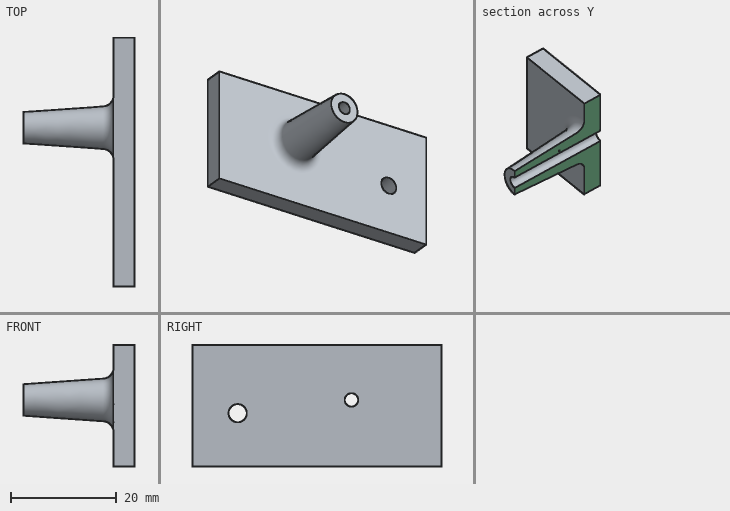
import cadquery as cq
import math

plate_thickness = 4.0
plate_width = 47.01
plate_height = 23.0

spigot_length = 17.0
spigot_tip_radius = 3.0
spigot_taper = math.radians(4.0)
spigot_root_radius = spigot_tip_radius + spigot_length * math.tan(spigot_taper)
spigot_fillet = 2.0
spigot_bore_diameter = 2.5
spigot_from_left = 17.0
spigot_from_top = 10.42

mount_hole_diameter = 3.4
mount_hole_from_right = 8.53
mount_hole_from_bottom = 10.08

spigot_center = (plate_width / 2 - spigot_from_left, plate_height / 2 - spigot_from_top)
mount_hole_center = (
    mount_hole_from_right - plate_width / 2,
    mount_hole_from_bottom - plate_height / 2,
)


def make_plate():
    """Rectangular plate with its front face at X = 0."""
    return cq.Workplane("YZ").rect(plate_width, plate_height).extrude(plate_thickness)


def make_spigot():
    """Cone pointing to -X with its flared root blending tangentially into the plate face."""
    arc_center_x = -spigot_fillet
    arc_center_radius = (
        spigot_root_radius
        - spigot_fillet * math.tan(spigot_taper)
        + spigot_fillet / math.cos(spigot_taper)
    )

    def arc_point(angle):
        return (
            arc_center_x + spigot_fillet * math.sin(angle),
            arc_center_radius - spigot_fillet * math.cos(angle),
        )

    cone_tangent_angle = spigot_taper
    plate_tangent_angle = math.pi / 2
    embedded_end_x = plate_thickness / 2
    middle_angle = (cone_tangent_angle + plate_tangent_angle) / 2

    profile = (
        cq.Workplane("XZ")
        .moveTo(-spigot_length, 0)
        .lineTo(-spigot_length, spigot_tip_radius)
        .lineTo(*arc_point(cone_tangent_angle))
        .threePointArc(arc_point(middle_angle), arc_point(plate_tangent_angle))
        .lineTo(embedded_end_x, arc_center_radius)
        .lineTo(embedded_end_x, 0)
        .close()
    )
    spigot = profile.revolve(360, (0, 0, 0), (1, 0, 0))
    return spigot.translate((0, *spigot_center))


def make_through_hole(center, diameter):
    """Cutter along X, from the spigot tip to the back of the plate."""
    return (
        cq.Workplane("YZ", origin=(-spigot_length, 0, 0))
        .center(*center)
        .circle(diameter / 2)
        .extrude(spigot_length + plate_thickness)
    )


result = (
    make_plate()
    .union(make_spigot())
    .cut(make_through_hole(spigot_center, spigot_bore_diameter))
    .cut(make_through_hole(mount_hole_center, mount_hole_diameter))
)